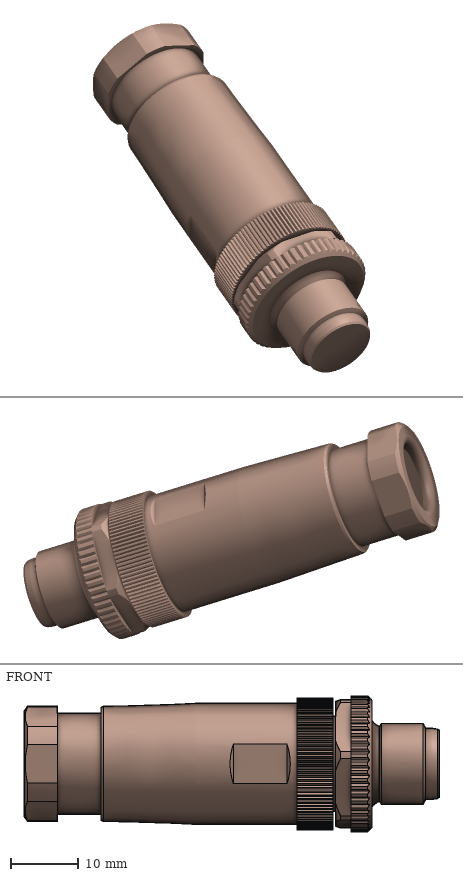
import cadquery as cq
import math

total_length = 61.6

gland_length = 4.9
gland_radius = 8.55
gland_across_flats = 16.15
gland_corner_angle = 30
gland_chamfer_length = 0.5
gland_chamfer_depth = 0.75
mouth_radius = 6.2
bore_radius = 4.8

neck_radius = 7.5

sleeve_start = 11.4
sleeve_straight_start = 25.45
sleeve_radius = 9.0
sleeve_nose_radius = 8.55
sleeve_chamfer_length = 0.4
sleeve_chamfer_depth = 0.2

flat_start = 31.05
flat_end = 39.0
flat_depth = 0.5

tooth_tip_share = 0.4

ring_start = 40.5
ring_end = 45.8
ring_radius = 9.8
ring_tooth_count = 100
ring_tooth_depth = 0.4

collar_radius = 7.1

nut_start = 46.2
nut_knurl_start = 48.5
nut_end = 51.6
nut_radius = 10.1
nut_across_flats = 18.0
nut_corner_angle = 7.4
nut_front_chamfer = 0.75
nut_rear_chamfer_length = 0.7
nut_rear_chamfer_depth = 0.7
nut_tooth_count = 52
nut_tooth_depth = 0.3

root_length = 1.0
root_rise = 0.8
root_hollow = 0.05
plug_neck_radius = 5.6
thread_start = 53.0
thread_end = 59.2
thread_diameter = 12.0
thread_radius = thread_diameter / 2
thread_lead_in = 0.25
thread_run_out = 0.4
tip_radius = 5.3
tip_taper_start = 60.5
tip_taper_end = 61.3
tip_taper_radius = 5.2
tip_chamfer = 0.2


def turned(profile):
    """Revolve a closed (X, radius) outline around the X axis."""
    return profile.close().revolve(360, (0, 0, 0), (1, 0, 0))


def prism(outline, start, end):
    """Extrude a (Y, Z) outline along X from start to end."""
    return cq.Workplane("YZ", origin=(start, 0, 0)).polyline(outline).close().extrude(end - start)


def cylinder(start, end, radius):
    """Round bar along X from start to end."""
    return cq.Workplane("YZ", origin=(start, 0, 0)).circle(radius).extrude(end - start)


def polar(radius, degrees):
    """Point in the YZ plane at an angle measured from +Y towards +Z."""
    angle = math.radians(degrees)
    return (radius * math.cos(angle), radius * math.sin(angle))


def hexagon(across_flats, corner_angle):
    """Corner points of a hexagon with one corner at the given angle."""
    corner_radius = across_flats / 2 / math.cos(math.pi / 6)
    return [polar(corner_radius, corner_angle + 60 * i) for i in range(6)]


def toothed(radius, depth, count):
    """Outline of flat-tipped teeth with V grooves between, one tooth centred on +Y."""
    pitch = 360 / count
    half_tip = tooth_tip_share * pitch / 2
    outline = []
    for i in range(count):
        middle = i * pitch
        outline += [
            polar(radius, middle - half_tip),
            polar(radius, middle + half_tip),
            polar(radius - depth, middle + pitch / 2),
        ]
    return outline


def make_gland():
    blank = turned(
        cq.Workplane("XY")
        .moveTo(0, 0)
        .lineTo(0, gland_radius - gland_chamfer_depth)
        .lineTo(gland_chamfer_length, gland_radius)
        .lineTo(gland_length, gland_radius)
        .lineTo(gland_length, 0)
    )
    gland = blank.intersect(prism(hexagon(gland_across_flats, gland_corner_angle), 0, gland_length))
    lip_radius = mouth_radius - bore_radius
    lip_middle = lip_radius * math.sqrt(0.5)
    mouth = turned(
        cq.Workplane("XY")
        .moveTo(0, 0)
        .lineTo(0, mouth_radius)
        .threePointArc(
            (lip_radius - lip_middle, mouth_radius - lip_middle),
            (lip_radius, bore_radius),
        )
        .lineTo(lip_radius, 0)
    )
    return gland.cut(mouth)


def make_sleeve():
    nose_end = sleeve_start + sleeve_chamfer_length
    body = turned(
        cq.Workplane("XY")
        .moveTo(ring_start, 0)
        .lineTo(ring_start, sleeve_radius)
        .lineTo(sleeve_straight_start, sleeve_radius)
        .lineTo(nose_end, sleeve_nose_radius)
        .lineTo(sleeve_start, sleeve_nose_radius - sleeve_chamfer_depth)
        .lineTo(sleeve_start, 0)
    )
    floor = sleeve_radius - flat_depth
    cutter_height = 2 * flat_depth
    for side in (-1, 1):
        pocket = (
            cq.Workplane("XY")
            .polyline([
                (flat_start, side * floor),
                (flat_end, side * floor),
                (flat_end + cutter_height, side * (floor + cutter_height)),
                (flat_start - cutter_height, side * (floor + cutter_height)),
            ])
            .close()
            .extrude(sleeve_radius, both=True)
        )
        body = body.cut(pocket)
    return body


def make_ring():
    outline = toothed(ring_radius, ring_tooth_depth, ring_tooth_count)
    return prism(outline, ring_start, ring_end)


def make_nut():
    outline = toothed(nut_radius, nut_tooth_depth, nut_tooth_count)
    rim = prism(outline, nut_knurl_start, nut_end)
    hex_body = prism(hexagon(nut_across_flats, -nut_corner_angle), nut_start, nut_knurl_start)
    envelope = turned(
        cq.Workplane("XY")
        .moveTo(nut_start, 0)
        .lineTo(nut_start, nut_radius - nut_front_chamfer)
        .lineTo(nut_start + nut_front_chamfer, nut_radius)
        .lineTo(nut_end - nut_rear_chamfer_length, nut_radius)
        .lineTo(nut_end, nut_radius - nut_rear_chamfer_depth)
        .lineTo(nut_end, 0)
    )
    return hex_body.union(rim).intersect(envelope)


def make_plug():
    root_end = nut_end + root_length
    root_middle = (
        nut_end + root_length / 2 - root_hollow,
        plug_neck_radius + root_rise / 2 - root_hollow,
    )
    return turned(
        cq.Workplane("XY")
        .moveTo(nut_end, 0)
        .lineTo(nut_end, plug_neck_radius + root_rise)
        .threePointArc(root_middle, (root_end, plug_neck_radius))
        .lineTo(thread_start - thread_lead_in, plug_neck_radius)
        .lineTo(thread_start, thread_radius)
        .lineTo(thread_end, thread_radius)
        .lineTo(thread_end + thread_run_out, tip_radius)
        .lineTo(tip_taper_start, tip_radius)
        .lineTo(tip_taper_end, tip_taper_radius)
        .lineTo(total_length, tip_taper_radius - tip_chamfer)
        .lineTo(total_length, 0)
    )


neck = cylinder(gland_length, sleeve_start, neck_radius)
collar = cylinder(ring_end, nut_start, collar_radius)

result = make_gland()
for section in (neck, make_sleeve(), make_ring(), collar, make_nut(), make_plug()):
    result = result.union(section)